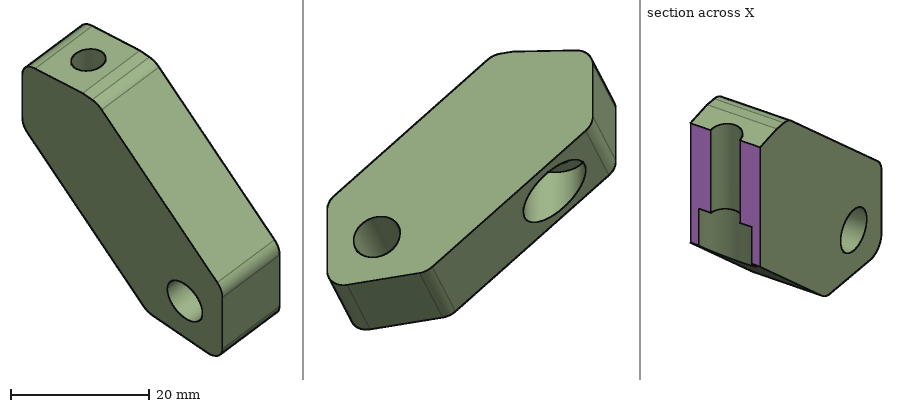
import math

import cadquery as cq

length = 40.0
thickness = 12.0
end_size = 15.0
diagonal_angle = 40.0
edge_radius = 3.0

slope_drop = 2.0
slope_length = 12.0

hole_inset = end_size / 2
pivot_diameter = 7.0
screw_diameter = 5.0
head_diameter = 9.0

diagonal_run = length - end_size
diagonal_rise = diagonal_run * math.tan(math.radians(diagonal_angle))
height = end_size + diagonal_rise

head_seat_height = diagonal_rise


def make_body():
    """Extrude the outline along Y, centred on Y = 0, and round its outer corners."""
    outline = [
        (diagonal_run, 0),
        (length, 0),
        (length, end_size),
        (end_size, height),
        (slope_length, height),
        (0, height - slope_drop),
        (0, diagonal_rise),
    ]
    body = cq.Workplane("XZ").polyline(outline).close().extrude(thickness / 2, both=True)
    rounded_corners = [corner for corner in outline if corner != (slope_length, height)]
    for x, z in rounded_corners:
        corner_edge = cq.selectors.NearestToPointSelector((x, 0, z))
        body = body.edges("|Y").edges(corner_edge).fillet(edge_radius)
    return body


def make_pivot_hole():
    """Cross hole through the full thickness at the lower right end."""
    return (
        cq.Workplane("XZ")
        .center(length - hole_inset, hole_inset)
        .circle(pivot_diameter / 2)
        .extrude(thickness / 2, both=True)
    )


def make_screw_hole():
    """Vertical screw hole with a head recess opening on the lower diagonal."""
    base = cq.Workplane("XY").center(hole_inset, 0)
    shank = base.circle(screw_diameter / 2).extrude(height)
    head = base.circle(head_diameter / 2).extrude(head_seat_height)
    return shank.union(head)


result = make_body().cut(make_pivot_hole()).cut(make_screw_hole())